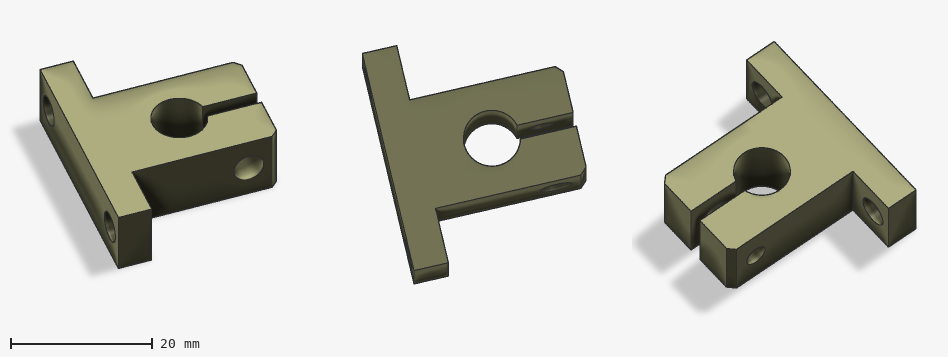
import cadquery as cq

foot_width = 32.0
overall_depth = 27.0
thickness = 10.0
foot_depth = 5.0

body_width = foot_width / 2
corner_chamfer = 1.0

bore_diameter = body_width / 2
bore_height = 15.0
slit_width = bore_diameter / 4

mounting_hole_diameter = 4.5
mounting_hole_spacing = 25.0
clamp_hole_diameter = 3.3
clamp_clearance_diameter = mounting_hole_diameter
clamp_hole_from_end = 4.5

mid_height = thickness / 2


def make_foot():
    """Flat foot with its mounting face on Y = 0."""
    return cq.Workplane("XY").box(foot_width, foot_depth, thickness, centered=(True, False, False))


def make_body():
    """Upright clamp body with its two outer end corners chamfered."""
    body = cq.Workplane("XY").box(body_width, overall_depth, thickness, centered=(True, False, False))
    return body.edges("|Z and >Y").chamfer(corner_chamfer)


def make_shaft_opening():
    """Round bore joined to a slit running out through the clamp end."""
    bore = cq.Workplane("XY").center(0, bore_height).circle(bore_diameter / 2).extrude(thickness)
    slit_length = overall_depth - bore_height
    slit = (
        cq.Workplane("XY")
        .center(0, bore_height)
        .box(slit_width, slit_length, thickness, centered=(True, False, False))
    )
    return bore.union(slit)


def make_mounting_holes():
    """Pair of holes along Y through the foot."""
    return (
        cq.Workplane("XZ", origin=(0, foot_depth, mid_height))
        .rarray(mounting_hole_spacing, 0.32, 2, 1)
        .circle(mounting_hole_diameter / 2)
        .extrude(foot_depth)
    )


def make_clamp_hole():
    """Clamp screw hole along X: narrow in the -X jaw, clearance size in the +X jaw."""
    hole_y = overall_depth - clamp_hole_from_end
    center_plane = cq.Workplane("YZ", origin=(0, hole_y, mid_height))
    narrow_hole = center_plane.circle(clamp_hole_diameter / 2).extrude(-body_width / 2)
    clearance_hole = center_plane.circle(clamp_clearance_diameter / 2).extrude(body_width / 2)
    return narrow_hole.union(clearance_hole)


result = (
    make_foot()
    .union(make_body())
    .cut(make_shaft_opening())
    .cut(make_mounting_holes())
    .cut(make_clamp_hole())
)